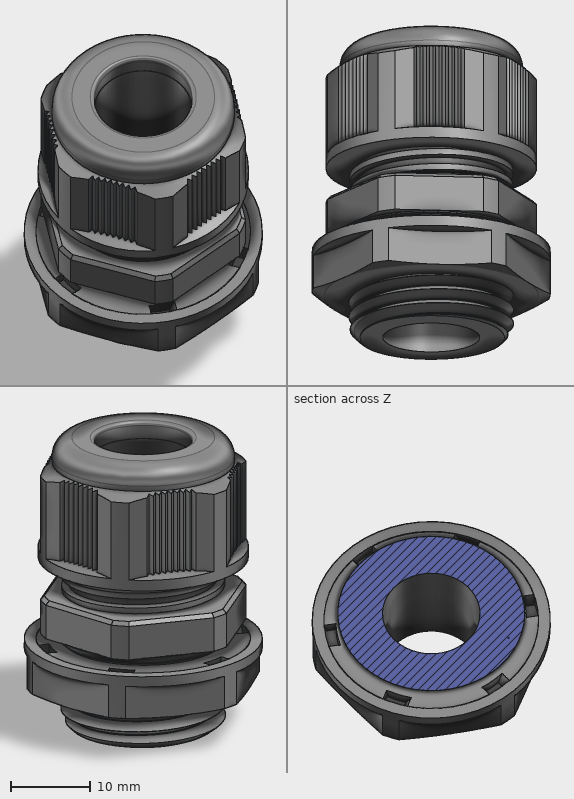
import cadquery as cq
import math

HEX_SIDES = 6
HEX_FLATS = 24.03
HEX_CORNER_RADIUS = 26.5 / 2

BORE_DIAMETER = 12.2
MOUTH_DIAMETER = 12.3
MOUTH_DEPTH = 2.3
MOUTH_ROUNDING = 0.55

BOTTOM_THREAD_CORE_RADIUS = 8.95
BOTTOM_THREAD_CREST_RADIUS = 10.37
BOTTOM_THREAD_PITCH = 1.83
BOTTOM_THREAD_BASE_WIDTH = 1.7
BOTTOM_THREAD_CREST_WIDTH = 0.05
BOTTOM_THREAD_FIRST_CREST = 0.6
BOTTOM_THREAD_TURNS = 4.5
BOTTOM_END_RADIUS = 9.23

LOCKNUT_BOTTOM = 5.45
LOCKNUT_TOP = 11.45
LOCKNUT_RADIUS = 15.0
LOCKNUT_FLATS = 27.0
LOCKNUT_FLANGE_THICKNESS = 1.35
LOCKNUT_CONE_RISE = 0.35
RECESS_DIAMETER = 27.0
RECESS_DEPTH = 0.15
POCKET_WIDTH = 3.28
POCKET_INNER_RADIUS = 12.0
POCKET_DEPTH = 1.35
POCKET_RAMP = 0.7

GASKET_RADIUS = 11.0
GASKET_BOTTOM = 11.55
GASKET_ROUNDING = 0.85
SLEEVE_RADIUS = GASKET_RADIUS - GASKET_ROUNDING
COLLAR_RADIUS = 11.8
COLLAR_BOTTOM = 12.85

BODY_BOTTOM = 13.05
BODY_TOP = 18.0
BODY_CHAMFER = 0.5

NECK_CORE_RADIUS = 9.4
NECK_CREST_RADIUS = 10.3
NECK_PITCH = 2.0
NECK_BASE_WIDTH = 1.03
NECK_CREST_WIDTH = 0.75
NECK_FIRST_CREST = 18.55
NECK_TURNS = 3.5

CAP_BOTTOM = 22.27
CAP_FLANGE_TOP = 23.7
CAP_FLANGE_CONE_RISE = 0.42
DOME_RADIUS = 23.0 / 2
DOME_ROUNDING = 2.5
DOME_TOP = 38.15
DOME_BOTTOM = 34.95
CAP_SHOULDER = 33.95
GROOVE_COUNT = 8
GROOVE_PITCH = 0.8
GROOVE_DEPTH = 0.45

THREAD_EMBED = 0.08


def cylinder(radius, bottom, top):
    """Upright cylinder about Z."""
    return cq.Workplane("XY").workplane(offset=bottom).circle(radius).extrude(top - bottom)


def turned(points):
    """Revolve a closed (radius, height) outline about Z."""
    return cq.Workplane("XZ").polyline(points).close().revolve(360, (0, 0), (0, 1))


def hexagon(flats, bottom, top):
    """Hexagonal prism with corners on the X axis and flats facing Y."""
    corner_diameter = flats / math.cos(math.pi / HEX_SIDES)
    base = cq.Workplane("XY").workplane(offset=bottom)
    return base.polygon(HEX_SIDES, corner_diameter).extrude(top - bottom)


def thread_ridge(core_radius, crest_radius, pitch, base_width, crest_width, start, turns):
    """Right-handed helical ridge whose centre starts on +X at the given height."""
    flank_run = (base_width - crest_width) / 2 / (crest_radius - core_radius)
    root_radius = core_radius - THREAD_EMBED
    half_root = base_width / 2 + flank_run * THREAD_EMBED
    half_crest = crest_width / 2
    path = cq.Wire.makeHelix(pitch, turns * pitch, core_radius).translate(cq.Vector(0, 0, start))
    outline = [
        (root_radius, start - half_root),
        (crest_radius, start - half_crest),
        (crest_radius, start + half_crest),
        (root_radius, start + half_root),
    ]
    return cq.Workplane("XZ").polyline(outline).close().sweep(cq.Workplane(path), isFrenet=True)


def bottom_thread():
    start = BOTTOM_THREAD_FIRST_CREST - BOTTOM_THREAD_PITCH
    ridge = thread_ridge(
        BOTTOM_THREAD_CORE_RADIUS, BOTTOM_THREAD_CREST_RADIUS, BOTTOM_THREAD_PITCH,
        BOTTOM_THREAD_BASE_WIDTH, BOTTOM_THREAD_CREST_WIDTH, start, BOTTOM_THREAD_TURNS,
    )
    core = cylinder(BOTTOM_THREAD_CORE_RADIUS, 0, BODY_BOTTOM)
    envelope = turned([
        (0, 0),
        (BOTTOM_END_RADIUS, 0),
        (BOTTOM_END_RADIUS + LOCKNUT_TOP, LOCKNUT_TOP),
        (0, LOCKNUT_TOP),
    ])
    return core.union(ridge.intersect(envelope))


def corner_pocket():
    """Curved pocket on the +X side whose end towards +Y is a ramp."""
    top = LOCKNUT_TOP - RECESS_DEPTH
    floor = top - POCKET_DEPTH
    half_width = POCKET_WIDTH / 2
    side_outline = [
        (-half_width, floor),
        (half_width - POCKET_RAMP, floor),
        (half_width, top),
        (-half_width, top),
    ]
    ring = cylinder(RECESS_DIAMETER / 2, floor, top)
    ring = ring.cut(cylinder(POCKET_INNER_RADIUS, floor, top))
    block = cq.Workplane("YZ").polyline(side_outline).close().extrude(LOCKNUT_RADIUS)
    return ring.intersect(block)


def locknut():
    flat_radius = LOCKNUT_FLATS / 2
    flange_bottom = LOCKNUT_TOP - LOCKNUT_FLANGE_THICKNESS
    slope = LOCKNUT_CONE_RISE / (LOCKNUT_RADIUS - flat_radius)

    envelope = turned([
        (0, LOCKNUT_BOTTOM),
        (flat_radius, LOCKNUT_BOTTOM),
        (LOCKNUT_RADIUS, LOCKNUT_BOTTOM + LOCKNUT_CONE_RISE),
        (LOCKNUT_RADIUS, LOCKNUT_TOP),
        (0, LOCKNUT_TOP),
    ])
    nut = hexagon(LOCKNUT_FLATS, LOCKNUT_BOTTOM, LOCKNUT_TOP).intersect(envelope)

    flange = turned([
        (0, flange_bottom - slope * LOCKNUT_RADIUS),
        (LOCKNUT_RADIUS, flange_bottom),
        (LOCKNUT_RADIUS, LOCKNUT_TOP),
        (0, LOCKNUT_TOP),
    ])
    nut = nut.union(flange)

    nut = nut.cut(cylinder(RECESS_DIAMETER / 2, LOCKNUT_TOP - RECESS_DEPTH, LOCKNUT_TOP))

    pocket = corner_pocket()
    for index in range(HEX_SIDES):
        nut = nut.cut(pocket.rotate((0, 0, 0), (0, 0, 1), index * 360 / HEX_SIDES))
    return nut


def gland_body():
    sleeve = cylinder(SLEEVE_RADIUS, LOCKNUT_TOP - RECESS_DEPTH, GASKET_BOTTOM)
    gasket = cylinder(GASKET_RADIUS, GASKET_BOTTOM, COLLAR_BOTTOM)
    gasket = gasket.faces("<Z").edges().fillet(GASKET_ROUNDING)
    collar = cylinder(COLLAR_RADIUS, COLLAR_BOTTOM, BODY_BOTTOM)
    body = hexagon(HEX_FLATS, BODY_BOTTOM, BODY_TOP)
    body = body.intersect(cylinder(HEX_CORNER_RADIUS, BODY_BOTTOM, BODY_TOP))
    body = body.faces(">Z").chamfer(BODY_CHAMFER)
    return sleeve.union(gasket).union(collar).union(body)


def neck_thread():
    start = NECK_FIRST_CREST - NECK_PITCH
    ridge = thread_ridge(
        NECK_CORE_RADIUS, NECK_CREST_RADIUS, NECK_PITCH,
        NECK_BASE_WIDTH, NECK_CREST_WIDTH, start, NECK_TURNS,
    )
    return cylinder(NECK_CORE_RADIUS, BODY_BOTTOM, DOME_BOTTOM).union(ridge)


def grip_grooves():
    """V-shaped vertical grooves across the middle of the flat that faces -Y."""
    flat = -HEX_FLATS / 2
    half_span = GROOVE_COUNT * GROOVE_PITCH / 2
    outline = [(-half_span, flat)]
    for index in range(GROOVE_COUNT):
        left = -half_span + index * GROOVE_PITCH
        outline.append((left + GROOVE_PITCH / 2, flat + GROOVE_DEPTH))
        outline.append((left + GROOVE_PITCH, flat))
    outline.append((half_span, flat - GROOVE_DEPTH))
    outline.append((-half_span, flat - GROOVE_DEPTH))
    return (
        cq.Workplane("XY").workplane(offset=CAP_FLANGE_TOP)
        .polyline(outline).close().extrude(DOME_BOTTOM - CAP_FLANGE_TOP)
    )


def cap_nut():
    envelope = turned([
        (0, CAP_BOTTOM),
        (HEX_CORNER_RADIUS, CAP_BOTTOM),
        (HEX_CORNER_RADIUS, CAP_SHOULDER),
        (DOME_RADIUS, DOME_BOTTOM),
        (0, DOME_BOTTOM),
    ])
    cap = hexagon(HEX_FLATS, CAP_BOTTOM, DOME_BOTTOM).intersect(envelope)

    grooves = grip_grooves()
    for index in range(HEX_SIDES):
        cap = cap.cut(grooves.rotate((0, 0, 0), (0, 0, 1), index * 360 / HEX_SIDES))

    slope = CAP_FLANGE_CONE_RISE / (HEX_CORNER_RADIUS - HEX_FLATS / 2)
    flange = turned([
        (0, CAP_BOTTOM),
        (HEX_CORNER_RADIUS, CAP_BOTTOM),
        (HEX_CORNER_RADIUS, CAP_FLANGE_TOP),
        (0, CAP_FLANGE_TOP + slope * HEX_CORNER_RADIUS),
    ])
    dome = cylinder(DOME_RADIUS, DOME_BOTTOM, DOME_TOP)
    dome = dome.faces(">Z").edges().fillet(DOME_ROUNDING)
    return cap.union(flange).union(dome)


def through_bore():
    mouth_radius = MOUTH_DIAMETER / 2
    mouth_bottom = DOME_TOP - MOUTH_DEPTH
    rounded_mouth = (
        cq.Workplane("XZ")
        .moveTo(0, mouth_bottom)
        .lineTo(mouth_radius, mouth_bottom)
        .lineTo(mouth_radius, DOME_TOP - MOUTH_ROUNDING)
        .radiusArc((mouth_radius + MOUTH_ROUNDING, DOME_TOP), MOUTH_ROUNDING)
        .lineTo(0, DOME_TOP)
        .close()
        .revolve(360, (0, 0), (0, 1))
    )
    return cylinder(BORE_DIAMETER / 2, 0, mouth_bottom).union(rounded_mouth)


result = (
    locknut()
    .union(bottom_thread())
    .union(gland_body())
    .union(cap_nut())
    .union(neck_thread())
    .cut(through_bore())
)